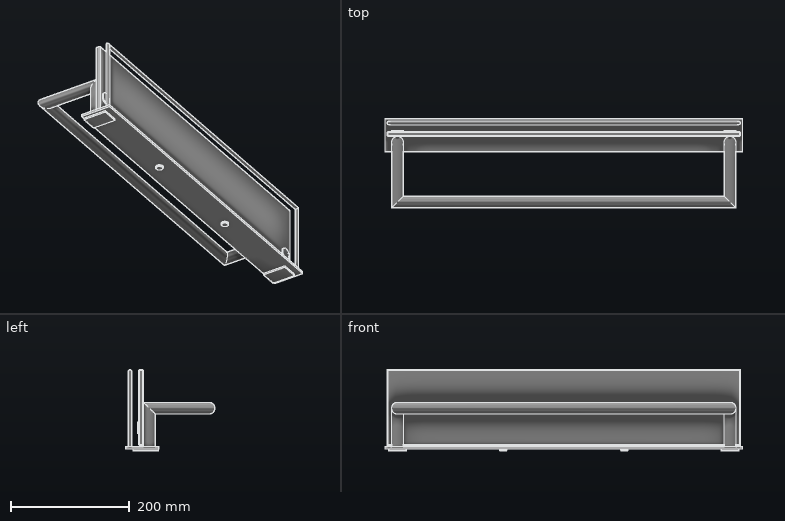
import cadquery as cq

base_length = 602.79
base_depth = 56.0
base_thickness = 4.0
base_corner_radius = 1.0

overall_depth = 150.57
overall_height = 136.57

tube_diameter = 20.0
handle_width = 580.0
handle_axis_height = base_thickness + 64.7
post_axis_y = -40.2

panel_thickness = 8.6
panel_rear_y = -21.8
panel_chamfer = 1.5
panel_gap = 2.0

side_margin = 4.0

rod_diameter = 6.0
rod_axis_y = -7.5

clamp_diameter = 20.0
clamp_thickness = 2.0
clamp_height = base_thickness + 31.8

foot_height = 3.0
post_foot_width = 30.0
post_foot_depth = 43.0
post_foot_setback = 0.5
pad_diameter = 13.0
pad_x = 102.0
pad_chamfer = 1.0

top_z = overall_height - foot_height
post_x = (handle_width - tube_diameter) / 2
grip_axis_y = -overall_depth + tube_diameter / 2
upright_width = base_length - 2 * side_margin

overlap = 1.0


def mitred_bar(points, diameter):
    """Round bar that starts vertically and follows the points with mitred corners."""
    path = cq.Wire.makePolygon([cq.Vector(*point) for point in points])
    profile = cq.Workplane("XY", origin=points[0]).circle(diameter / 2)
    return profile.sweep(cq.Workplane(path), transition="right")


def make_base():
    plate = cq.Workplane("XY").box(base_length, base_depth, base_thickness, centered=(True, True, False))
    return plate.edges("|Z").fillet(base_corner_radius).translate((0, -base_depth / 2, 0))


def make_handle():
    start_z = base_thickness - overlap
    return mitred_bar(
        [
            (-post_x, post_axis_y, start_z),
            (-post_x, post_axis_y, handle_axis_height),
            (-post_x, grip_axis_y, handle_axis_height),
            (post_x, grip_axis_y, handle_axis_height),
            (post_x, post_axis_y, handle_axis_height),
            (post_x, post_axis_y, start_z),
        ],
        tube_diameter,
    )


def make_frame():
    start_z = base_thickness - overlap
    rod_x = (upright_width - rod_diameter) / 2
    rod_top_z = top_z - rod_diameter / 2
    return mitred_bar(
        [
            (-rod_x, rod_axis_y, start_z),
            (-rod_x, rod_axis_y, rod_top_z),
            (rod_x, rod_axis_y, rod_top_z),
            (rod_x, rod_axis_y, start_z),
        ],
        rod_diameter,
    )


def make_panel():
    bottom_z = base_thickness + panel_gap
    panel = cq.Workplane("XY").box(
        upright_width, panel_thickness, top_z - bottom_z, centered=(True, True, False)
    )
    panel = panel.edges().chamfer(panel_chamfer)
    return panel.translate((0, panel_rear_y - panel_thickness / 2, bottom_z))


def make_clamp(x):
    """Disc on the rear face of the panel, behind a post."""
    start_y = panel_rear_y - overlap
    disc = cq.Workplane("XZ", origin=(x, start_y, clamp_height)).circle(clamp_diameter / 2)
    return disc.extrude(-(clamp_thickness + overlap))


def make_post_foot(x):
    """Rectangular foot below a post, just behind the front edge of the base plate."""
    foot = cq.Workplane("XY").box(post_foot_width, post_foot_depth, foot_height + overlap)
    center_y = post_foot_setback + post_foot_depth / 2 - base_depth
    return foot.translate((x, center_y, (overlap - foot_height) / 2))


def make_pad(x):
    """Round pad with a bevelled rim on the centre line of the base plate."""
    disc = cq.Workplane("XY", origin=(x, -base_depth / 2, -foot_height)).circle(pad_diameter / 2)
    return disc.extrude(foot_height + overlap).faces("<Z").edges().chamfer(pad_chamfer)


result = make_base().union(make_handle()).union(make_frame()).union(make_panel())
for side in (-1, 1):
    result = result.union(make_clamp(side * post_x))
    result = result.union(make_post_foot(side * post_x))
    result = result.union(make_pad(side * pad_x))